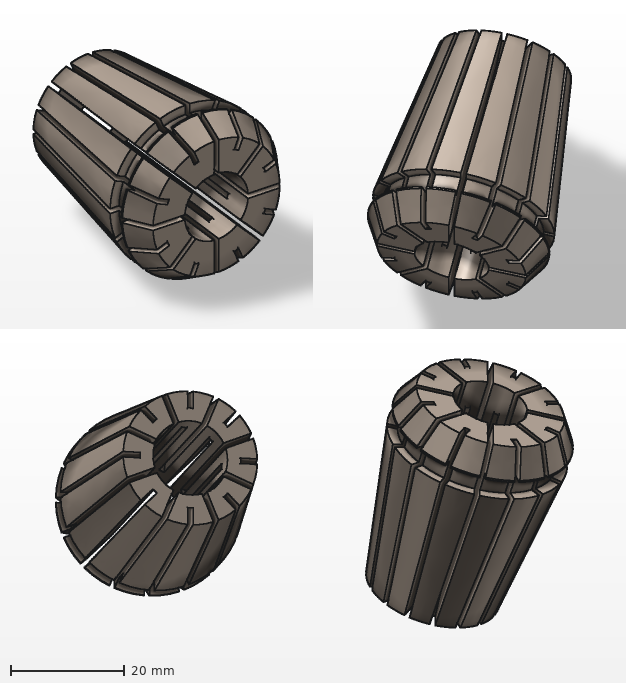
import cadquery as cq
import math

length = 40.0
max_diameter = 33.0
bore_diameter = 13.5

taper_angle = 8.0
taper_length = 30.85

groove_width = 3.6
groove_diameter = 29.2
head_land = 0.35
head_angle = 30.0

slots_per_set = 8
slot_width = 1.0
saw_radius = 40.0
cut_clearance = 1.0
head_slot_floor_radius = 9.1
head_slot_bore_start = 4.85
tail_slot_floor_radius = 11.1
tail_slot_bore_end = 34.2

max_radius = max_diameter / 2
bore_radius = bore_diameter / 2
groove_radius = groove_diameter / 2
groove_end = taper_length + groove_width
cone_start = groove_end + head_land
small_end_radius = max_radius - taper_length * math.tan(math.radians(taper_angle))
head_end_radius = max_radius - (length - cone_start) * math.tan(math.radians(head_angle))
slot_pitch = 360 / slots_per_set
slot_bore_height = math.sqrt(bore_radius**2 - (slot_width / 2) ** 2)
slot_top = max_radius + cut_clearance


def make_body():
    """Tapered sleeve with groove and head cone, revolved about X."""
    return (
        cq.Workplane("XY")
        .moveTo(0, bore_radius)
        .lineTo(0, small_end_radius)
        .lineTo(taper_length, max_radius)
        .lineTo(taper_length, groove_radius)
        .lineTo(groove_end, groove_radius)
        .lineTo(groove_end, max_radius)
        .lineTo(cone_start, max_radius)
        .lineTo(length, head_end_radius)
        .lineTo(length, bore_radius)
        .close()
        .revolve(360, (0, 0, 0), (1, 0, 0))
    )


def make_slot_cutter(closed_end_x, floor_radius, bore_x, open_end_x):
    """Slot plate, fully open towards open_end_x, with a concave floor rising to the closed end face."""
    direction = math.copysign(1, open_end_x - closed_end_x)
    return (
        cq.Workplane("XZ")
        .moveTo(closed_end_x, floor_radius)
        .radiusArc((bore_x, slot_bore_height), -direction * saw_radius)
        .lineTo(bore_x, 0)
        .lineTo(open_end_x, 0)
        .lineTo(open_end_x, slot_top)
        .lineTo(closed_end_x, slot_top)
        .close()
        .extrude(slot_width / 2, both=True)
    )


def cut_slot_set(body, cutter, first_angle):
    """Cut one evenly spaced set of slots around the X axis."""
    for index in range(slots_per_set):
        angle = first_angle + index * slot_pitch
        body = body.cut(cutter.rotate((0, 0, 0), (1, 0, 0), angle))
    return body


head_slot = make_slot_cutter(0, head_slot_floor_radius, head_slot_bore_start, length)
tail_slot = make_slot_cutter(length, tail_slot_floor_radius, tail_slot_bore_end, 0)

result = make_body()
result = cut_slot_set(result, head_slot, 0)
result = cut_slot_set(result, tail_slot, slot_pitch / 2)